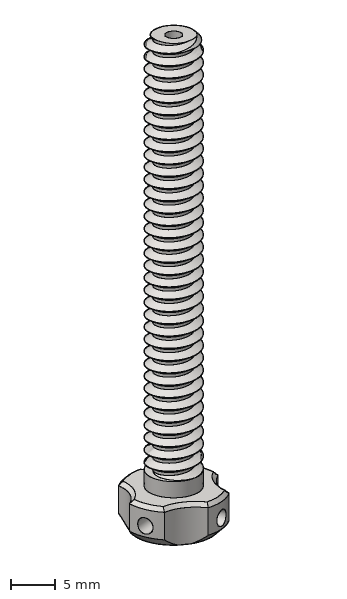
import cadquery as cq
import math

total_length = 60.0
head_diameter = 12.5
head_height = 5.0
hole_diameter = 2.0

head_top_chamfer = 0.5
head_bottom_chamfer = 1.15
scallop_count = 4
scallop_radius = 5.0
scallop_center_radius = 10.0

shaft_diameter = 6.6
collar_height = 2.0
tip_chamfer = 0.7
thread_pitch = 1.5
thread_depth = 0.95
crest_width = 0.05
root_width = thread_pitch / 4
foot_embed = 0.1
envelope_clearance = 0.6
crest_height_at_front = 6.6

shaft_radius = shaft_diameter / 2
core_radius = shaft_radius - thread_depth
thread_start = head_height + collar_height


def make_head():
    """Round knob with four scallops, chamfered all round on top and turned to a cone below."""
    blank = cq.Workplane("XY").circle(head_diameter / 2).extrude(head_height)
    turned_blank = blank.faces("<Z").chamfer(head_bottom_chamfer)
    scallops = (
        cq.Workplane("XY")
        .polarArray(scallop_center_radius, 180 / scallop_count, 360, scallop_count)
        .circle(scallop_radius)
        .extrude(head_height)
    )
    return turned_blank.cut(scallops).faces(">Z").edges().chamfer(head_top_chamfer)


def make_hole(plane):
    """Through hole along the normal of the given plane, centred on the knob."""
    return (
        cq.Workplane(plane, origin=(0, 0, head_height / 2))
        .circle(hole_diameter / 2)
        .extrude(total_length, both=True)
    )


def make_head_with_collar():
    """Scalloped head and plain collar, drilled along all three axes."""
    collar = cq.Workplane("XY").circle(shaft_radius).extrude(thread_start)
    body = make_head().union(collar)
    for hole_plane in ("XY", "XZ", "YZ"):
        body = body.cut(make_hole(hole_plane))
    return body


def make_thread_ridge():
    """Right-handed trapezoidal ridge with its foot sunk into the core, overlong at both ends."""
    flank_run = (thread_pitch - crest_width - root_width) / 2
    half_crest = crest_width / 2
    half_foot = half_crest + flank_run * (thread_depth + foot_embed) / thread_depth
    foot_radius = core_radius - foot_embed

    ridge_start = crest_height_at_front - thread_pitch
    turns = math.ceil((total_length - ridge_start) / thread_pitch) + 1
    helix = cq.Wire.makeHelix(thread_pitch, turns * thread_pitch, shaft_radius)
    return (
        cq.Workplane("XZ")
        .moveTo(foot_radius, -half_foot)
        .lineTo(shaft_radius, -half_crest)
        .lineTo(shaft_radius, half_crest)
        .lineTo(foot_radius, half_foot)
        .close()
        .sweep(cq.Workplane(obj=helix), isFrenet=True)
        .rotate((0, 0, 0), (0, 0, 1), -90)
        .translate((0, 0, ridge_start))
    )


def make_thread_envelope():
    """Solid that trims the thread: flat where it meets the collar, conical at the tip."""
    return (
        cq.Workplane("XY", origin=(0, 0, thread_start))
        .circle(shaft_radius + envelope_clearance)
        .extrude(total_length - thread_start)
        .faces(">Z")
        .chamfer(tip_chamfer + envelope_clearance)
    )


def make_threaded_shaft():
    """Bored core with the thread around it, trimmed to the stretch above the collar."""
    core = (
        cq.Workplane("XY")
        .circle(core_radius)
        .circle(hole_diameter / 2)
        .extrude(total_length + thread_pitch)
    )
    return core.union(make_thread_ridge(), clean=False).intersect(make_thread_envelope(), clean=False)


result = make_head_with_collar().union(make_threaded_shaft(), clean=False).solids()